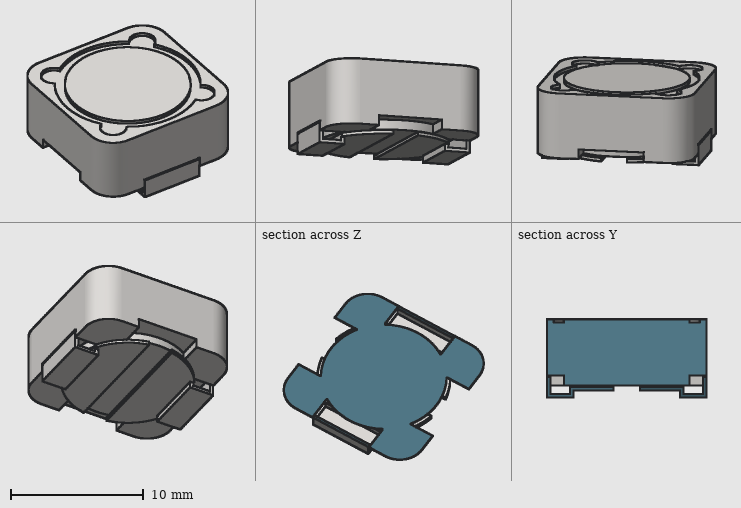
import cadquery as cq

side = 12.0
corner_radius = 2.0
housing_height = 5.0

core_radius = 4.74
ring_radius = 5.48
recess_depth = 0.25
pocket_radius = 1.0
pocket_offset = 4.0

notch_width = 5.0
notch_height = 0.75

strip_thickness = 0.28
strip_width = 4.93
foot_length = 2.0
foot_bottom = -0.9
leg_top = 0.66
pad_top = -0.1
pad_radius = 5.0
pad_inner_edge = 0.98

half_side = side / 2
pad_bottom = pad_top - strip_thickness
foot_inner_edge = half_side - foot_length
pad_outer_edge = foot_inner_edge + strip_thickness


def make_block():
    block = cq.Workplane("XY").rect(side, side).extrude(housing_height)
    return block.edges("|Z").fillet(corner_radius)


def make_top_recess():
    floor = cq.Workplane("XY").workplane(offset=housing_height - recess_depth)
    ring = floor.circle(ring_radius).extrude(recess_depth)
    pocket_spacing = 2 * pocket_offset
    pockets = floor.rect(pocket_spacing, pocket_spacing, forConstruction=True).vertices()
    pockets = pockets.circle(pocket_radius).extrude(recess_depth)
    core_top = floor.circle(core_radius).extrude(recess_depth)
    return ring.union(pockets).cut(core_top)


def make_edge_notches():
    along_x = cq.Workplane("XY").rect(side, notch_width).extrude(notch_height)
    along_y = cq.Workplane("XY").rect(notch_width, side).extrude(notch_height)
    core = cq.Workplane("XY").circle(core_radius).extrude(notch_height)
    return along_x.union(along_y).cut(core)


def make_housing():
    return make_block().cut(make_top_recess()).cut(make_edge_notches())


def make_pad():
    """Slice of a disc between two chords parallel to Y."""
    disc = cq.Workplane("XY").workplane(offset=pad_bottom).circle(pad_radius).extrude(strip_thickness)
    slice_box = cq.Workplane("XY").box(
        pad_outer_edge - pad_inner_edge, side, strip_thickness, centered=(False, True, False)
    )
    return disc.intersect(slice_box.translate((pad_inner_edge, 0, pad_bottom)))


def make_terminal():
    """Terminal on the +X side: outer leg, flat foot and inner riser, joined to the pad."""
    strip_profile = [
        (half_side, leg_top),
        (half_side, foot_bottom),
        (foot_inner_edge, foot_bottom),
        (foot_inner_edge, pad_top),
        (pad_outer_edge, pad_top),
        (pad_outer_edge, foot_bottom + strip_thickness),
        (half_side - strip_thickness, foot_bottom + strip_thickness),
        (half_side - strip_thickness, leg_top),
    ]
    strip = cq.Workplane("XZ").polyline(strip_profile).close().extrude(strip_width / 2, both=True)
    return strip.union(make_pad())


housing = make_housing()
terminals = [make_terminal().rotate((0, 0, 0), (0, 0, 1), turn) for turn in (0, 180)]

result = cq.Compound.makeCompound([housing.val(), *[terminal.val() for terminal in terminals]])